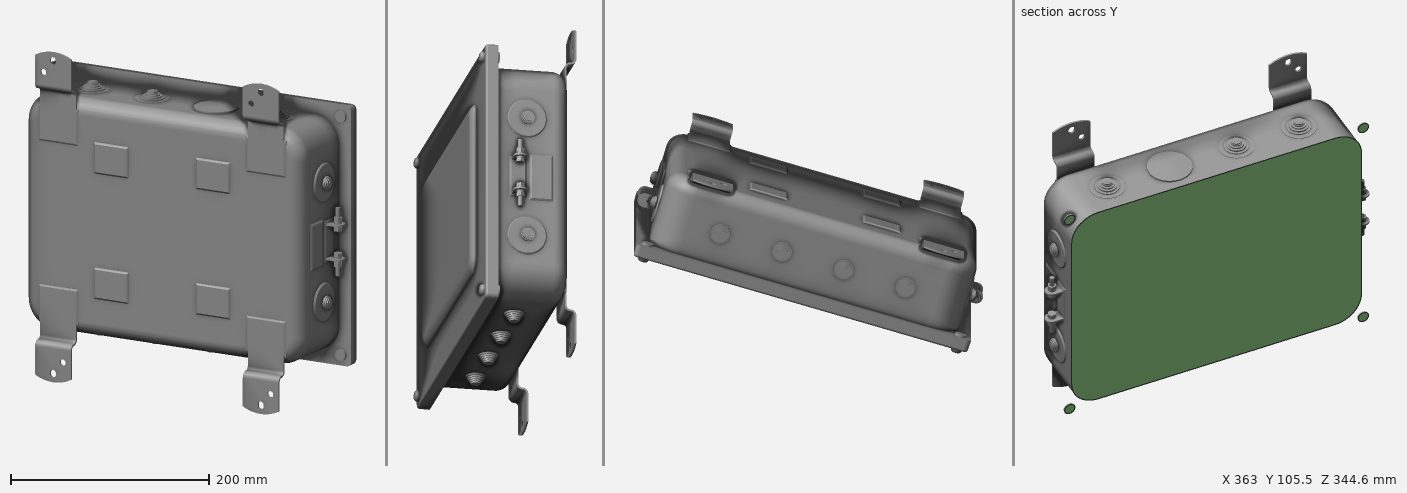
import math

import cadquery as cq

COS_45 = math.sqrt(0.5)

STRAP_THICKNESS = 2.0
STRAP_OFFSET = 10.0
TUB_BACK_Y = 11.0
RIM_Y = 87.0
LID_FACE_Y = 100.0
DOME_Y = 105.5

TUB_WIDTH = 325.6
TUB_HEIGHT = 246.0
TUB_CORNER_RADIUS = 30.0
TUB_BACK_FILLET = 15.0
ENTRY_Y = 55.0

LID_WIDTH = 352.0
LID_HEIGHT = 272.0
LID_CORNER_RADIUS = 5.0
LID_DRAFT = 2.0
LID_EDGE_FILLET = 2.5
DOME_WIDTH = 264.0
DOME_HEIGHT = 188.0
DOME_CORNER_RADIUS = 20.0
DOME_FILLET = 15.0
DOME_SKIRT = 1.0
SCREW_X = 164.7
SCREW_Z = 124.5
SCREW_BOSS_DIAMETER = 12.0
SCREW_BOSS_LENGTH = 2.5
SCREW_HEAD_DIAMETER = 11.5
SCREW_HEAD_HEIGHT = 4.5
SCREW_HEAD_FILLET = 3.2

STRAP_X = 121.5
STRAP_WIDTH = 42.0
STRAP_TIP_Z = 344.62 / 2
STRAP_TIP_RADIUS = 45.0
STRAP_INNER_END_Z = 77.0
JOG_START_Z = 127.0
JOG_LEG_RADIUS = 4.0
STRAP_SLOT_Z = 163.3
STRAP_SLOT_WIDTH = 6.7
STRAP_SLOT_LENGTH = 8.0
STRAP_HOLE_DIAMETER = 6.7
STRAP_HOLE_OFFSET = 11.3
STRAP_HOLE_Z = 150.2

BEAD = 2.0
BEAD_HEIGHT = 1.5
STRAP_BEAD_TOP_Z = 111.0
BACK_PAD_X = 59.5
BACK_PAD_Z = 65.5
BACK_PAD_WIDTH = 36.5
BACK_PAD_HEIGHT = 29.0
SIDE_PAD_Y = 40.2
SIDE_PAD_WIDTH = 20.0
SIDE_PAD_HEIGHT = 45.0

TOP_GROMMET_X = (-107.4, -37.4, 107.4)
TOP_GROMMET_STEPS = (
    (36.0, 0.6), (25.25, 1.7), (20.0, 3.4), (15.5, 5.1), (11.5, 6.8), (10.0, 8.2), (5.0, 8.5),
)
BLANK_X = 37.4
BLANK_DIAMETER = 46.0
BLANK_RIM_HEIGHT = 2.0
BLANK_CROWN_HEIGHT = 3.8
BOTTOM_GROMMET_PITCH = 65.0
BOTTOM_GROMMET_COUNT = 4
BOTTOM_GROMMET_STEPS = ((20.0, 1.8), (17.0, 3.6), (14.75, 5.4), (12.0, 7.2), (10.0, 8.8))
SIDE_ENTRY_Z = 62.5
SIDE_DISC_DIAMETER = 40.5
SIDE_DISC_HEIGHT = 1.8
SIDE_DISC_CHAMFER = 1.2
SIDE_KNOB_STEPS = ((10.0, 3.0), (14.0, 5.0), (12.0, 6.5), (9.5, 7.5), (5.0, 8.0))

OVERALL_WIDTH = 363.0
HINGE_Y = 64.2
HINGE_EAR_RADIUS = 7.0
HINGE_EAR_Z = 18.0
HINGE_EAR_THICKNESS = 2.0
HINGE_BASE_HEIGHT = 40.0
BOLT_DIAMETER = 5.0
BOLT_TIP_Z = 35.5
BOLT_WASHER_DIAMETER = 7.5
BOLT_HEX_WIDTH = 8.0
BOLT_INSET = 0.5
BOLT_HEAD_Z = (11.5, 15.0)
BOLT_NUT_Z = (21.5, 25.7)


def rounded_block(width, height, corner_radius, y_start, y_end, draft=0.0):
    """Block with rounded corners in XZ, running from y_start towards +Y."""
    profile = cq.Workplane("XZ", origin=(0, y_start, 0)).sketch()
    profile = profile.rect(width, height).vertices().fillet(corner_radius).finalize()
    return profile.extrude(y_start - y_end, taper=draft)


def cylinder(diameter, start, direction, length):
    return cq.Workplane(
        cq.Solid.makeCylinder(diameter / 2, length, cq.Vector(*start), cq.Vector(*direction))
    )


def make_tub():
    tub = rounded_block(TUB_WIDTH, TUB_HEIGHT, TUB_CORNER_RADIUS, TUB_BACK_Y, RIM_Y)
    return tub.faces("<Y").edges().fillet(TUB_BACK_FILLET)


def make_lid():
    plate = rounded_block(LID_WIDTH, LID_HEIGHT, LID_CORNER_RADIUS, RIM_Y, LID_FACE_Y, LID_DRAFT)
    plate = plate.faces(">Y").edges().fillet(LID_EDGE_FILLET)
    dome_start = DOME_Y - DOME_FILLET - DOME_SKIRT
    dome = rounded_block(DOME_WIDTH, DOME_HEIGHT, DOME_CORNER_RADIUS, dome_start, DOME_Y)
    return plate.union(dome.faces(">Y").edges().fillet(DOME_FILLET))


def make_lid_screw(x, z):
    boss = cylinder(SCREW_BOSS_DIAMETER, (x, RIM_Y, z), (0, -1, 0), SCREW_BOSS_LENGTH)
    head = cylinder(SCREW_HEAD_DIAMETER, (x, LID_FACE_Y, z), (0, 1, 0), SCREW_HEAD_HEIGHT)
    return boss.union(head.faces(">Y").edges().fillet(SCREW_HEAD_FILLET))


def welded_pad(width, height, thickness):
    """Rectangular plate in XY with a sloping weld bead all round; base at Z = 0."""
    bead_slope = math.degrees(math.atan2(BEAD, thickness))
    base = cq.Workplane("XY").rect(width + 2 * BEAD, height + 2 * BEAD)
    return base.extrude(thickness, taper=bead_slope)


def make_strap():
    """Upper strap centred on X = 0: welded leg, S-shaped jog and rounded tab on the wall plane."""
    front_y = STRAP_OFFSET + STRAP_THICKNESS
    middle_y = STRAP_OFFSET - JOG_LEG_RADIUS
    jog_tab_radius = middle_y
    jog_end_z = JOG_START_Z + JOG_LEG_RADIUS + jog_tab_radius
    web_low_z = JOG_START_Z + JOG_LEG_RADIUS
    web_high_z = web_low_z + STRAP_THICKNESS

    def leg_bend_middle(radius):
        return (middle_y + radius * COS_45, JOG_START_Z + radius * COS_45)

    def tab_bend_middle(radius):
        return (middle_y - radius * COS_45, jog_end_z - radius * COS_45)

    strap = (
        cq.Workplane("YZ")
        .moveTo(STRAP_OFFSET, STRAP_INNER_END_Z)
        .lineTo(STRAP_OFFSET, JOG_START_Z)
        .threePointArc(leg_bend_middle(JOG_LEG_RADIUS), (middle_y, web_low_z))
        .threePointArc(tab_bend_middle(jog_tab_radius), (0, jog_end_z))
        .lineTo(0, STRAP_TIP_Z)
        .lineTo(STRAP_THICKNESS, STRAP_TIP_Z)
        .lineTo(STRAP_THICKNESS, jog_end_z)
        .threePointArc(tab_bend_middle(jog_tab_radius - STRAP_THICKNESS), (middle_y, web_high_z))
        .threePointArc(leg_bend_middle(JOG_LEG_RADIUS + STRAP_THICKNESS), (front_y, JOG_START_Z))
        .lineTo(front_y, STRAP_INNER_END_Z)
        .close()
        .extrude(STRAP_WIDTH / 2, both=True)
    )

    tip_centre_z = STRAP_TIP_Z - STRAP_TIP_RADIUS
    below_tip = cq.Workplane("XY").box(
        STRAP_WIDTH, 4 * STRAP_OFFSET, tip_centre_z, centered=(True, True, False)
    )
    tip_round = (
        cq.Workplane("XZ", origin=(0, 0, tip_centre_z))
        .circle(STRAP_TIP_RADIUS)
        .extrude(2 * STRAP_OFFSET, both=True)
    )
    strap = strap.intersect(below_tip.union(tip_round))

    holes = (
        cq.Workplane("XZ")
        .center(0, STRAP_SLOT_Z)
        .slot2D(STRAP_SLOT_LENGTH, STRAP_SLOT_WIDTH, 90)
        .extrude(STRAP_OFFSET / 2, both=True)
    )
    holes = holes.union(
        cq.Workplane("XZ")
        .center(-STRAP_HOLE_OFFSET, STRAP_HOLE_Z)
        .circle(STRAP_HOLE_DIAMETER / 2)
        .extrude(STRAP_OFFSET / 2, both=True)
    )
    strap = strap.cut(holes)

    bead_length = STRAP_BEAD_TOP_Z - STRAP_INNER_END_Z
    bead_centre = (0, TUB_BACK_Y, STRAP_INNER_END_Z + bead_length / 2)
    bead = welded_pad(STRAP_WIDTH, bead_length, TUB_BACK_Y - STRAP_OFFSET)
    bead = bead.rotate((0, 0, 0), (1, 0, 0), 90).translate(bead_centre)
    bead_root = cq.Workplane("XY").box(
        STRAP_WIDTH + 2 * BEAD, BEAD, bead_length + 2 * BEAD, centered=(True, False, True)
    ).translate(bead_centre)
    return strap.union(bead).union(bead_root)


def stepped_post(steps):
    """Stack of coaxial discs along +Z from Z = 0; each step is (diameter, top height)."""
    radii = [diameter / 2 for diameter, _ in steps]
    outline = [(0, 0), (radii[0], 0)]
    for index, (_, height) in enumerate(steps):
        outline.append((radii[index], height))
        if index + 1 < len(steps):
            outline.append((radii[index + 1], height))
    outline.append((0, steps[-1][1]))
    return cq.Workplane("XZ").polyline(outline).close().revolve(360, (0, 0), (0, 1))


def make_blank():
    """Blanking plug: short rim with a shallow crown."""
    radius = BLANK_DIAMETER / 2
    outline = (
        cq.Workplane("XZ")
        .lineTo(radius, 0)
        .lineTo(radius, BLANK_RIM_HEIGHT)
        .lineTo(0, BLANK_CROWN_HEIGHT)
        .close()
    )
    return outline.revolve(360, (0, 0), (0, 1))


def make_top_entries():
    top_z = TUB_HEIGHT / 2
    grommet = stepped_post(TOP_GROMMET_STEPS)
    entries = make_blank().translate((BLANK_X, ENTRY_Y, top_z))
    for x in TOP_GROMMET_X:
        entries = entries.union(grommet.translate((x, ENTRY_Y, top_z)))
    return entries


def make_bottom_entries():
    grommet = stepped_post(BOTTOM_GROMMET_STEPS).rotate((0, 0, 0), (1, 0, 0), 180)
    entries = cq.Workplane("XY")
    first_x = -BOTTOM_GROMMET_PITCH * (BOTTOM_GROMMET_COUNT - 1) / 2
    for index in range(BOTTOM_GROMMET_COUNT):
        x = first_x + index * BOTTOM_GROMMET_PITCH
        entries = entries.add(grommet.translate((x, ENTRY_Y, -TUB_HEIGHT / 2)))
    return entries.combine()


def make_side_entry():
    """Disc with a bevelled edge and a central knob, standing along +Z."""
    disc = cq.Workplane("XY").circle(SIDE_DISC_DIAMETER / 2).extrude(SIDE_DISC_HEIGHT)
    disc = disc.faces(">Z").edges().chamfer(SIDE_DISC_CHAMFER)
    return disc.union(stepped_post(SIDE_KNOB_STEPS))


def make_hinge_bolt(x):
    bolt = cylinder(BOLT_DIAMETER, (x, HINGE_Y, BOLT_HEAD_Z[0]), (0, 0, 1), BOLT_TIP_Z - BOLT_HEAD_Z[0])
    washer_length = BOLT_NUT_Z[0] - BOLT_HEAD_Z[1]
    washers = cylinder(BOLT_WASHER_DIAMETER, (x, HINGE_Y, BOLT_HEAD_Z[1]), (0, 0, 1), washer_length)
    bolt = bolt.union(washers)
    hex_corner_diameter = BOLT_HEX_WIDTH / math.cos(math.pi / 6)
    for bottom, top in (BOLT_HEAD_Z, BOLT_NUT_Z):
        hexagon = cq.Workplane("XY", origin=(x, HINGE_Y, bottom)).polygon(6, hex_corner_diameter)
        bolt = bolt.union(hexagon.extrude(top - bottom))
    return bolt


def make_hinge_ear(x_wall, x_eye):
    length = x_eye - x_wall
    ear = cq.Workplane("XY").box(
        length, 2 * HINGE_EAR_RADIUS, HINGE_EAR_THICKNESS, centered=(False, True, True)
    ).translate((x_wall, HINGE_Y, HINGE_EAR_Z))
    eye_start = (x_eye, HINGE_Y, HINGE_EAR_Z - HINGE_EAR_THICKNESS / 2)
    return ear.union(cylinder(2 * HINGE_EAR_RADIUS, eye_start, (0, 0, 1), HINGE_EAR_THICKNESS))


def make_side():
    """Everything on the +X side of the tub."""
    wall_x = TUB_WIDTH / 2
    eye_x = OVERALL_WIDTH / 2 - HINGE_EAR_RADIUS

    def on_wall(shape, y, z):
        return shape.rotate((0, 0, 0), (0, 1, 0), 90).translate((wall_x, y, z))

    side = on_wall(welded_pad(SIDE_PAD_HEIGHT, SIDE_PAD_WIDTH, BEAD_HEIGHT), SIDE_PAD_Y, 0)
    base = welded_pad(HINGE_BASE_HEIGHT, 2 * HINGE_EAR_RADIUS, BEAD_HEIGHT)
    side = side.union(on_wall(base, HINGE_Y, 0))
    upper_lug = make_hinge_ear(wall_x, eye_x).union(make_hinge_bolt(eye_x - BOLT_INSET))
    side = side.union(upper_lug).union(upper_lug.mirror("XY"))
    for z in (-SIDE_ENTRY_Z, SIDE_ENTRY_Z):
        side = side.union(on_wall(make_side_entry(), ENTRY_Y, z))
    return side


def make_back_pads():
    pad = welded_pad(BACK_PAD_WIDTH, BACK_PAD_HEIGHT, BEAD_HEIGHT).rotate((0, 0, 0), (1, 0, 0), 90)
    pads = cq.Workplane("XY")
    for x in (-BACK_PAD_X, BACK_PAD_X):
        for z in (-BACK_PAD_Z, BACK_PAD_Z):
            pads = pads.add(pad.translate((x, TUB_BACK_Y, z)))
    return pads.combine()


result = make_tub().union(make_lid())

for screw_x in (-SCREW_X, SCREW_X):
    for screw_z in (-SCREW_Z, SCREW_Z):
        result = result.union(make_lid_screw(screw_x, screw_z))

upper_strap = make_strap()
lower_strap = upper_strap.rotate((0, 0, 0), (0, 1, 0), 180)
for strap_x in (-STRAP_X, STRAP_X):
    result = result.union(upper_strap.translate((strap_x, 0, 0)))
    result = result.union(lower_strap.translate((strap_x, 0, 0)))

right_side = make_side()
result = result.union(right_side).union(right_side.mirror("YZ"))
result = result.union(make_top_entries()).union(make_bottom_entries()).union(make_back_pads())